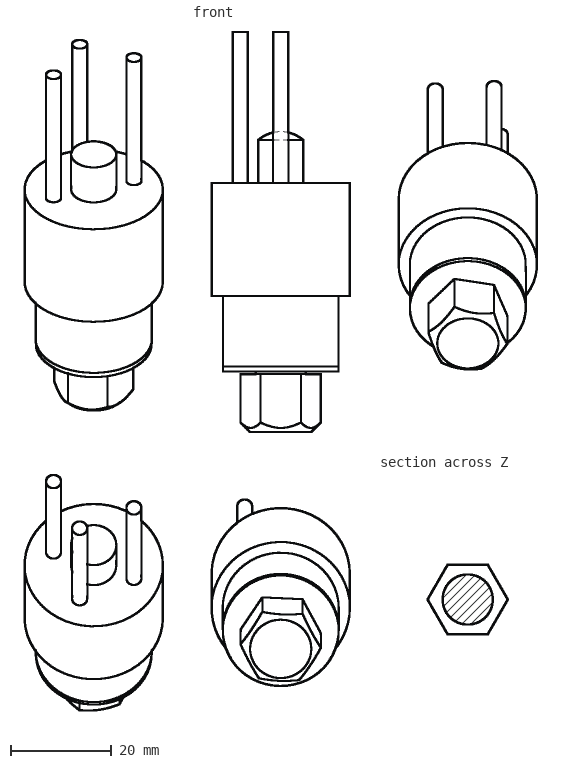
import cadquery as cq
import math

hex_corner_diameter = 16.0
hex_height = 11.5
hex_chamfer = 1.9
neck_diameter = 10.0
neck_height = 0.5
flange_thickness = 1.0

barrel_diameter = 23.05
barrel_height = 14.0
head_diameter = 27.5

overall_height = 79.5
pin_diameter = 3.0
pin_length = 30.0
side_pin_offset = 8.0
end_pin_offset = 8.5
post_diameter = 9.0
post_side_height = 8.5
post_height = 10.2

flange_bottom = hex_height + neck_height
flange_top = flange_bottom + flange_thickness
head_bottom = flange_top + barrel_height
head_top = overall_height - pin_length


def cylinder(diameter, bottom, top):
    """Cylinder on the Z axis between two levels."""
    return cq.Workplane("XY").workplane(offset=bottom).circle(diameter / 2).extrude(top - bottom)


def make_chamfered_hex():
    """Hexagon with corners on X, its lower end turned to a 45 degree cone."""
    hexagon = cq.Workplane("XY").polygon(6, hex_corner_diameter).extrude(hex_height)
    turned_blank = cylinder(hex_corner_diameter, 0, hex_height).faces("<Z").chamfer(hex_chamfer)
    return hexagon.intersect(turned_blank)


def make_fitting():
    """Hexagon, neck and flange in one piece; the flange closes the barrel."""
    neck = cylinder(neck_diameter, hex_height, flange_bottom)
    flange = cylinder(barrel_diameter, flange_bottom, flange_top)
    return make_chamfered_hex().union(neck).union(flange)


def make_housing():
    """Barrel and head in one piece."""
    barrel = cylinder(barrel_diameter, flange_top, head_bottom)
    head = cylinder(head_diameter, head_bottom, head_top)
    return barrel.union(head)


def make_post():
    """Round post with a shallow spherical dome."""
    radius = post_diameter / 2
    dome_height = post_height - post_side_height
    dome_radius = (radius**2 + dome_height**2) / (2 * dome_height)
    half_angle = math.asin(radius / dome_radius) / 2
    arc_x = dome_radius * math.sin(half_angle)
    arc_z = post_height - dome_radius * (1 - math.cos(half_angle))
    profile = (
        cq.Workplane("XZ", origin=(0, 0, head_top))
        .lineTo(radius, 0)
        .lineTo(radius, post_side_height)
        .threePointArc((arc_x, arc_z), (0, post_height))
        .close()
    )
    return profile.revolve(360, (0, 0), (0, 1))


def make_pin(x, y):
    """Plain round pin standing on the head."""
    return cylinder(pin_diameter, head_top, overall_height).translate((x, y, 0))


fitting = make_fitting()
housing = make_housing()
post = make_post()
pin_positions = [(-side_pin_offset, 0), (0, -end_pin_offset), (0, end_pin_offset)]
pins = [make_pin(x, y).val() for x, y in pin_positions]

result = cq.Compound.makeCompound([fitting.val(), housing.val(), post.val(), *pins])